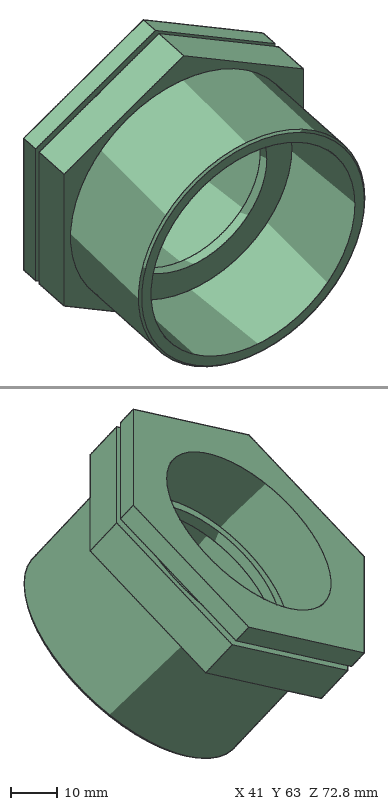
import cadquery as cq

length = 41.0
hex_across_corners = 72.75
body_diameter = 59.6
end_chamfer = 0.5

front_collar_width = 4.5
groove_width = 1.3
rear_collar_width = 9.3

front_bore_diameter = 44.8
front_bore_depth = 15.0
land_diameter = 40.4
land_width = 2.5
rear_bore_diameter = 53.6


def cylinder(start, depth, diameter):
    """Solid cylinder along +X from the given position."""
    return cq.Workplane("YZ", origin=(start, 0, 0)).circle(diameter / 2).extrude(depth)


def hex_collar(start, width):
    """Hexagonal collar with corners at the top and bottom."""
    return (
        cq.Workplane("YZ", origin=(start, 0, 0))
        .transformed(rotate=(0, 0, 90))
        .polygon(6, hex_across_corners)
        .extrude(width)
    )


body = cylinder(0, length, body_diameter).faces(">X").edges().chamfer(end_chamfer)
body = body.union(hex_collar(0, front_collar_width))
body = body.union(hex_collar(front_collar_width + groove_width, rear_collar_width))

land_end = front_bore_depth + land_width
body = body.cut(cylinder(0, front_bore_depth, front_bore_diameter))
body = body.cut(cylinder(0, land_end, land_diameter))

result = body.cut(cylinder(land_end, length - land_end, rear_bore_diameter))